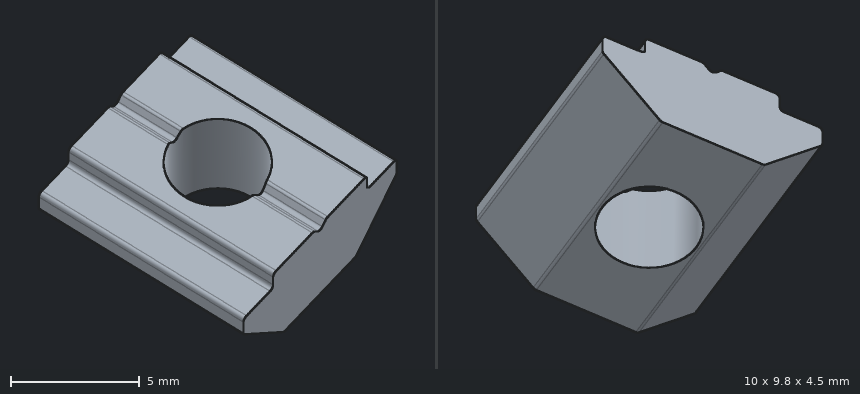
import cadquery as cq

length = 10.0
width = 9.8
height = 4.5

boss_width = 6.0
boss_height = 0.9
side_height = 1.0
bevel = 2.6
groove_depth = 0.41
hole_diameter = 4.2

edge_radius = 0.2

half_width = width / 2
half_boss = boss_width / 2
half_base = half_width - bevel
ledge_z = height - boss_height
flank_z = ledge_z - side_height


def make_body():
    """Extrude the sharp cross-section, centred on X, with its base at Z = 0."""
    right_half = [
        (half_base, 0),
        (half_width, flank_z),
        (half_width, ledge_z),
        (half_boss, ledge_z),
        (half_boss, height),
        (groove_depth, height),
    ]
    left_half = [(-y, z) for y, z in reversed(right_half)]
    groove_bottom = (0, height - groove_depth)
    outline = right_half + [groove_bottom] + left_half
    return cq.Workplane("YZ").polyline(outline).close().extrude(length / 2, both=True)


def round_edges(body):
    """Round every lengthwise edge of the cross-section."""
    return body.edges("|X").fillet(edge_radius)


def make_hole():
    """Vertical cylinder through the full height at the centre."""
    return cq.Workplane("XY").circle(hole_diameter / 2).extrude(height)


result = round_edges(make_body()).cut(make_hole())